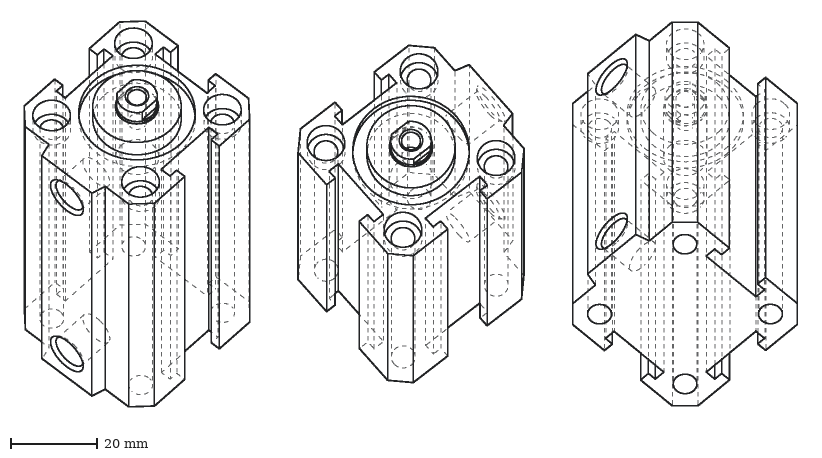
import cadquery as cq
import math

body_width = 41.0
body_height = 80.5
corner_chamfer = 4.2
half_width = body_width / 2

pad_height = 3.5
pad_tip_width = 15.8
pad_root_width = 17.7

slot_opening = 11.8
slot_inner_width = 16.3
slot_lip = 2.6
slot_depth = 5.4
slot_face_angles = (-90, 0, 90)

mount_spacing = 28.0
mount_hole_diameter = 5.5
mount_head_diameter = 8.7
mount_head_depth = 5.6

port_diameter = 8.5
port_mouth_diameter = 10.3
port_depth = 10.0
port_heights = (9.3, 71.3)

recess_diameter = 27.0
recess_depth = 2.5
collar_diameter = 20.5
collar_projection = 2.4
collar_top = body_height + collar_projection

rod_diameter = 10.0
rod_projection = 4.1
rod_insertion = 20.0
rod_bottom = collar_top - rod_insertion
rod_top = collar_top + rod_projection
neck_diameter = 9.4
shank_projection = 0.15
shoulder_bottom = collar_top + shank_projection
shoulder_height = 0.4
flat_width = 8.0
flat_length = 3.0
ledge_angle = 20.0

socket_diameter = 4.4
socket_mouth_diameter = 5.4
socket_depth = 10.0
drill_point_angle = 118.0


def chamfered_hole(diameter, mouth_diameter, depth, point_depth=0.0):
    """Blind hole going down from the origin: 45 degree mouth, optional drill point."""
    radius = diameter / 2
    mouth_radius = mouth_diameter / 2
    profile = (
        cq.Workplane("XZ")
        .lineTo(mouth_radius, 0)
        .lineTo(radius, radius - mouth_radius)
        .lineTo(radius, -depth)
        .lineTo(0, -depth - point_depth)
        .close()
    )
    return profile.revolve(360, (0, 0, 0), (0, 1, 0))


def make_slot_cutter():
    """T-slot open to the +Y face, over the full height of the housing."""
    mouth = cq.Workplane("XY").rect(slot_opening, 2 * slot_depth).extrude(body_height)
    inner_length = slot_depth - slot_lip
    inner_offset = (slot_depth + slot_lip) / 2
    inner = (
        cq.Workplane("XY")
        .center(0, -inner_offset)
        .rect(slot_inner_width, inner_length)
        .extrude(body_height)
    )
    return mouth.union(inner).translate((0, half_width, 0))


def make_pad():
    """Tapered pad on the -Y face, rooted inside the body."""
    return (
        cq.Workplane("XY")
        .moveTo(-pad_root_width / 2, 0)
        .lineTo(-pad_root_width / 2, -half_width)
        .lineTo(-pad_tip_width / 2, -half_width - pad_height)
        .lineTo(pad_tip_width / 2, -half_width - pad_height)
        .lineTo(pad_root_width / 2, -half_width)
        .lineTo(pad_root_width / 2, 0)
        .close()
        .extrude(body_height)
    )


def make_housing():
    housing = (
        cq.Workplane("XY")
        .rect(body_width, body_width)
        .extrude(body_height)
        .edges("|Z")
        .chamfer(corner_chamfer)
        .union(make_pad())
    )

    slot = make_slot_cutter()
    for angle in slot_face_angles:
        housing = housing.cut(slot.rotate((0, 0, 0), (0, 0, 1), angle))

    housing = (
        housing.faces(">Z")
        .workplane(origin=(0, 0, body_height))
        .rect(mount_spacing, mount_spacing, forConstruction=True)
        .vertices()
        .cboreHole(mount_hole_diameter, mount_head_diameter, mount_head_depth)
    )

    port = chamfered_hole(port_diameter, port_mouth_diameter, port_depth)
    port = port.rotate((0, 0, 0), (1, 0, 0), 90)
    for height in port_heights:
        housing = housing.cut(port.translate((0, -half_width - pad_height, height)))

    recess_floor = cq.Workplane("XY").workplane(offset=body_height - recess_depth)
    recess = recess_floor.circle(recess_diameter / 2).extrude(recess_depth)
    collar = recess_floor.circle(collar_diameter / 2).extrude(recess_depth + collar_projection)
    rod_bore = (
        cq.Workplane("XY")
        .workplane(offset=rod_bottom)
        .circle(rod_diameter / 2)
        .extrude(rod_insertion)
    )
    return housing.cut(recess).union(collar).cut(rod_bore)


def make_flat_cutter():
    """Cutter for the flat on the +X side; its floor is a ledge sloping down and outwards."""
    flat_x = flat_width / 2
    outer_x = rod_diameter / 2
    ledge_height = rod_top - flat_length
    ledge_drop = (outer_x - flat_x) * math.tan(math.radians(ledge_angle))
    return (
        cq.Workplane("XZ")
        .moveTo(flat_x, rod_top)
        .lineTo(flat_x, ledge_height)
        .lineTo(outer_x, ledge_height - ledge_drop)
        .lineTo(outer_x, rod_top)
        .close()
        .extrude(rod_diameter / 2, both=True)
    )


def make_rod():
    rod = (
        cq.Workplane("XZ")
        .moveTo(0, rod_bottom)
        .lineTo(rod_diameter / 2, rod_bottom)
        .lineTo(rod_diameter / 2, shoulder_bottom)
        .lineTo(neck_diameter / 2, shoulder_bottom + shoulder_height)
        .lineTo(neck_diameter / 2, rod_top)
        .lineTo(0, rod_top)
        .close()
        .revolve(360, (0, 0, 0), (0, 1, 0))
    )

    flat = make_flat_cutter()
    for angle in (0, 180):
        rod = rod.cut(flat.rotate((0, 0, 0), (0, 0, 1), angle))

    point_depth = socket_diameter / 2 / math.tan(math.radians(drill_point_angle / 2))
    socket = chamfered_hole(socket_diameter, socket_mouth_diameter, socket_depth, point_depth)
    return rod.cut(socket.translate((0, 0, rod_top)))


housing = make_housing()
rod = make_rod()

result = cq.Compound.makeCompound([housing.val(), rod.val()])